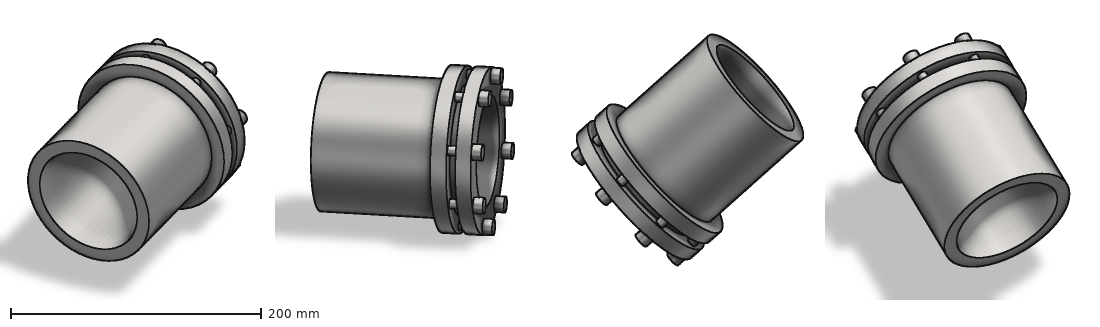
import cadquery as cq

PIPE_DIAMETER = 112.0
BORE_DIAMETER = 90.0
PIPE_LENGTH = 100.0

FLANGE_DIAMETER = 135.0
FRONT_FLANGE_THICKNESS = 13.0
REAR_FLANGE_THICKNESS = 12.5
SPACER_DIAMETER = 106.0
SPACER_THICKNESS = 7.5

SCREW_COUNT = 8
SCREW_CIRCLE_RADIUS = 60.5
FIRST_SCREW_ANGLE = 15.0
SHANK_DIAMETER = 8.0
HEAD_DIAMETER = 13.0
HEAD_HEIGHT = 8.0

FRONT_FLANGE_Y = PIPE_LENGTH
SPACER_Y = FRONT_FLANGE_Y + FRONT_FLANGE_THICKNESS
REAR_FLANGE_Y = SPACER_Y + SPACER_THICKNESS
SCREW_HEAD_Y = REAR_FLANGE_Y + REAR_FLANGE_THICKNESS


def cylinder_along_y(diameter, start_y, length):
    """Solid cylinder on the Y axis, growing from start_y towards +Y."""
    plane = cq.Workplane("XZ", origin=(0, start_y, 0))
    return plane.circle(diameter / 2).extrude(-length)


def make_flanged_body():
    """Pipe, front flange, spacer ring and rear flange with a common through bore."""
    pipe = cylinder_along_y(PIPE_DIAMETER, 0, PIPE_LENGTH)
    front_flange = cylinder_along_y(FLANGE_DIAMETER, FRONT_FLANGE_Y, FRONT_FLANGE_THICKNESS)
    spacer = cylinder_along_y(SPACER_DIAMETER, SPACER_Y, SPACER_THICKNESS)
    rear_flange = cylinder_along_y(FLANGE_DIAMETER, REAR_FLANGE_Y, REAR_FLANGE_THICKNESS)
    bore = cylinder_along_y(BORE_DIAMETER, 0, SCREW_HEAD_Y)
    return pipe.union(front_flange).union(spacer).union(rear_flange).cut(bore)


def make_screw(angle):
    """One cap screw: its shank bridges the flange gap, its head sits on the rear flange."""
    shank = cylinder_along_y(SHANK_DIAMETER, SPACER_Y, SCREW_HEAD_Y - SPACER_Y)
    head = cylinder_along_y(HEAD_DIAMETER, SCREW_HEAD_Y, HEAD_HEIGHT)
    screw = shank.union(head).translate((SCREW_CIRCLE_RADIUS, 0, 0))
    return screw.rotate((0, 0, 0), (0, -1, 0), angle)


result = make_flanged_body()
for index in range(SCREW_COUNT):
    screw_angle = FIRST_SCREW_ANGLE + index * 360.0 / SCREW_COUNT
    result = result.union(make_screw(screw_angle))